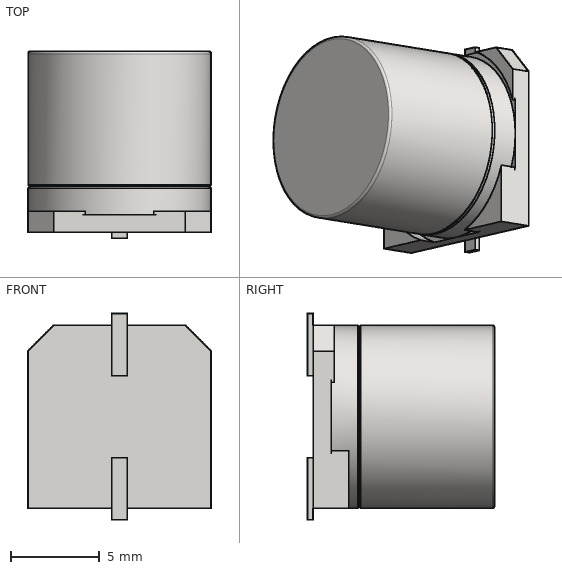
import cadquery as cq

base_width = 10.3
overall_height = 11.6
overall_depth = 10.51

corner_chamfer = 1.46
floor_thickness = 1.0
upper_corner_depth = 1.18
lower_corner_depth = 2.01
recess_radius = 5.5

can_radius = base_width / 2
rim_fillet = 0.14
groove_start = 2.49
groove_width = 0.19
groove_depth = 0.1

lead_width = 0.88
lead_length = 3.5
lead_thickness = 0.32

can_end = overall_depth - lead_thickness


def make_base():
    """Base with two chamfered upper corners and a round recess around the can."""
    half = base_width / 2
    shoulder = half - corner_chamfer
    upper_block = (
        cq.Workplane("XZ")
        .polyline([(-half, 0), (half, 0), (half, shoulder), (shoulder, half),
                   (-shoulder, half), (-half, shoulder)])
        .close()
        .extrude(-upper_corner_depth)
    )
    lower_block = (
        cq.Workplane("XZ")
        .center(0, -half / 2)
        .rect(base_width, half)
        .extrude(-lower_corner_depth)
    )
    recess = (
        cq.Workplane("XZ", origin=(0, floor_thickness, 0))
        .circle(recess_radius)
        .extrude(floor_thickness - lower_corner_depth)
    )
    return upper_block.union(lower_block).cut(recess)


def make_can():
    """Can turned about Y, with a V groove and a rounded far rim."""
    return (
        cq.Workplane("XY")
        .moveTo(0, floor_thickness)
        .lineTo(can_radius, floor_thickness)
        .lineTo(can_radius, groove_start)
        .lineTo(can_radius - groove_depth, groove_start + groove_width / 2)
        .lineTo(can_radius, groove_start + groove_width)
        .lineTo(can_radius, can_end)
        .lineTo(0, can_end)
        .close()
        .revolve(360, (0, 0, 0), (0, 1, 0))
        .faces(">Y")
        .edges()
        .fillet(rim_fillet)
    )


def make_lead(side):
    """Flat lead on the mounting face, projecting past the base at one end."""
    z = side * (overall_height - lead_length) / 2
    return (
        cq.Workplane("XY")
        .box(lead_width, lead_thickness, lead_length)
        .translate((0, -lead_thickness / 2, z))
    )


result = make_base().union(make_can()).union(make_lead(-1)).union(make_lead(1))